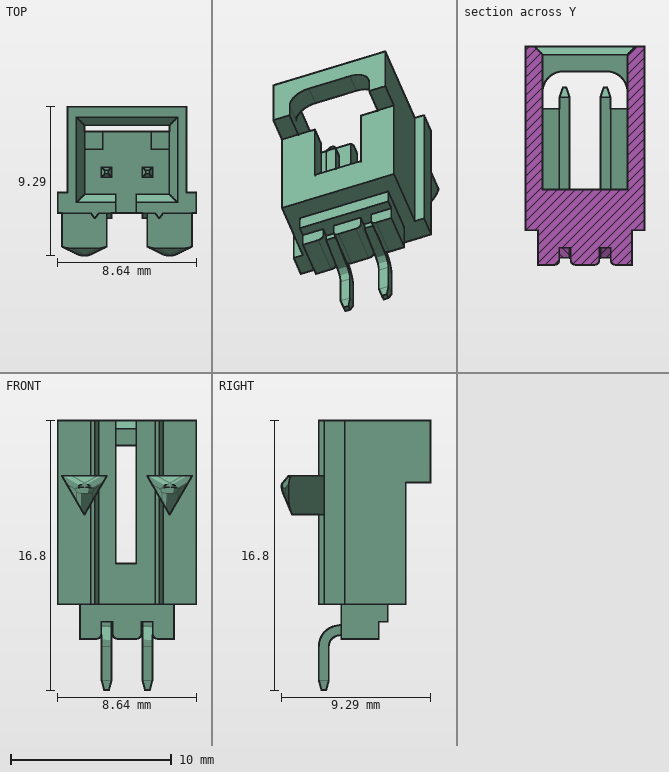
import cadquery as cq
import math


shroud_height = 11.43
shroud_width = 7.42
shroud_depth = 6.62
lower_depth = 5.07
collar_height = 3.86
collar_bottom = shroud_height - collar_height
flange_width = 8.636
flange_depth = 1.29

cavity_width = 5.26
cavity_front = 1.17
cavity_back = 5.44
cavity_lead_in = 0.51
floor_height = 2.54
front_slot_width = 1.27
front_slot_center = -0.0635
window_top = shroud_height - 1.56
window_corner_radius = 1.27
post_size = 1.11

rib_center = 2.0
rib_half_width = 0.255
rib_depth = 0.34

peg_center = 2.65
peg_side = 2.81
peg_top = shroud_height - 3.43
peg_shoulder_length = 2.2
peg_point_slope = 0.85
peg_lower_ridge_radius = 0.9
peg_upper_ridge_radius = 0.55
peg_triangle_height = peg_side * math.sqrt(3) / 2
peg_inradius = peg_triangle_height / 3

block_width = 5.86
block_height = 2.16
block_front = 1.05
block_back = 3.96
block_step_height = 1.1
block_step_depth = 0.56
relief_inner_edge = 0.9
relief_corner_radius = 0.33

pitch = 2.54
pin_size = 0.635
mating_leg_y = 2.54
mating_length = 6.35
run_slope = 11
bend_outer_radius = 1.3
bend_z = -2.61
tail_front = -rib_depth
tail_bottom = -5.33
tip_length = 0.61
tail_tip_size = 0.31
mating_tip_size = 0.22


def box(x0, x1, y0, y1, z0, z1):
    return cq.Workplane("XY").box(x1 - x0, y1 - y0, z1 - z0, centered=False).translate((x0, y0, z0))


def centered_box(width, y0, y1, z0, z1):
    return box(-width / 2, width / 2, y0, y1, z0, z1)


def make_shell():
    """Collar, shallower lower part and side flanges, before hollowing."""
    lower = centered_box(shroud_width, 0, lower_depth, 0, shroud_height)
    collar = centered_box(shroud_width, 0, shroud_depth, collar_bottom, shroud_height)
    flange = centered_box(flange_width, 0, flange_depth, 0, shroud_height)
    return lower.union(collar).union(flange)


def make_cavity():
    """Pocket open to the back below the window, with a 45 degree lead-in at the mouth."""
    pocket = centered_box(cavity_width, cavity_front, cavity_back, floor_height, shroud_height)
    lead_in = (
        cq.Workplane("XY", origin=(0, (cavity_front + cavity_back) / 2, shroud_height))
        .rect(cavity_width + 2 * cavity_lead_in, cavity_back - cavity_front + 2 * cavity_lead_in)
        .workplane(offset=-cavity_lead_in)
        .rect(cavity_width, cavity_back - cavity_front)
        .loft(ruled=True)
    )
    window = (
        centered_box(cavity_width, cavity_front, shroud_depth, floor_height, window_top)
        .edges("|Y and >Z")
        .fillet(window_corner_radius)
    )
    slot_left = front_slot_center - front_slot_width / 2
    front_slot = box(slot_left, slot_left + front_slot_width, 0, cavity_front, floor_height, shroud_height)
    return pocket.union(lead_in).union(window).union(front_slot)


def make_corner_post(side):
    """Post in a rear corner of the cavity, from the floor up to the collar."""
    outer = side * cavity_width / 2
    inner = outer - side * post_size
    left, right = sorted((inner, outer))
    return box(left, right, lower_depth - post_size, lower_depth, floor_height, collar_bottom)


def make_rib(side):
    """Full-height triangular rib on the mounting face."""
    x = side * rib_center
    return (
        cq.Workplane("XY")
        .moveTo(x - rib_half_width, 0)
        .lineTo(x + rib_half_width, 0)
        .lineTo(x, -rib_depth)
        .close()
        .extrude(shroud_height)
    )


def make_peg(side):
    """Triangular prism whose end is a low pyramid with rounded ridges."""
    tolerance = 0.001
    half = peg_side / 2
    apex = cq.Vector(0, -peg_shoulder_length - peg_point_slope * peg_inradius, -peg_inradius)
    root = [cq.Vector(-half, 0, 0), cq.Vector(half, 0, 0), cq.Vector(0, 0, -peg_triangle_height)]
    shoulder = [point - cq.Vector(0, peg_shoulder_length, 0) for point in root]

    outlines = [root]
    for i in range(3):
        j = (i + 1) % 3
        outlines.append([root[i], root[j], shoulder[j], shoulder[i]])
        outlines.append([shoulder[i], shoulder[j], apex])
    faces = [cq.Face.makeFromWires(cq.Wire.makePolygon(points, close=True)) for points in outlines]
    peg = cq.Solid.makeSolid(cq.Shell.makeShell(faces))

    def is_point_edge(edge):
        return edge.Center().y < -peg_shoulder_length - tolerance

    def is_mid_edge(edge):
        return edge.BoundingBox().xlen < tolerance

    upper_ridges = [edge for edge in peg.Edges() if is_point_edge(edge) and not is_mid_edge(edge)]
    peg = peg.fillet(peg_upper_ridge_radius, upper_ridges)
    lower_ridge = [edge for edge in peg.Edges() if is_point_edge(edge) and is_mid_edge(edge)]
    peg = peg.fillet(peg_lower_ridge_radius, lower_ridge)
    return cq.Workplane(peg).translate((side * peg_center, 0, peg_top))


def make_tail_block():
    """Stepped block, open beneath around each contact's bend."""
    step_front = block_back - block_step_depth
    block = centered_box(block_width, block_front, block_back, -block_height, 0)
    step = centered_box(block_width, step_front, block_back, -block_height, -block_step_height)
    block = block.cut(step)
    for side in (-1, 1):
        block = block.cut(make_relief(side))
    return block


def make_relief(side):
    """Channel around a contact's bend, flared with rounded corners at the underside."""
    inner = side * relief_inner_edge
    outer = side * (pitch + pin_size) / 2
    r = side * relief_corner_radius
    z_flare = relief_corner_radius - block_height
    arc_middle_x = r * (1 - math.sqrt(0.5))
    arc_middle_z = z_flare - relief_corner_radius * math.sqrt(0.5)
    return (
        cq.Workplane("XZ", origin=(0, block_back, 0))
        .moveTo(inner, -block_step_height)
        .lineTo(outer, -block_step_height)
        .lineTo(outer, z_flare)
        .threePointArc((outer + arc_middle_x, arc_middle_z), (outer + r, -block_height))
        .lineTo(inner - r, -block_height)
        .threePointArc((inner - arc_middle_x, arc_middle_z), (inner, z_flare))
        .close()
        .extrude(block_back - block_front)
    )


def make_tip(y, z, size, direction):
    """Square taper from the full pin section to a small flat end."""
    return (
        cq.Workplane("XY", origin=(0, y, z))
        .rect(pin_size, pin_size)
        .workplane(offset=direction * tip_length)
        .rect(size, size)
        .loft(ruled=True)
    )


def make_contact(side):
    """Right-angle square pin: mating leg, slightly sloped run, rounded bend and tail."""
    leg_back = mating_leg_y + pin_size / 2
    leg_front = mating_leg_y - pin_size / 2
    tail_back = tail_front + pin_size
    bend_inner_radius = bend_outer_radius - pin_size
    bend_y = tail_front + bend_outer_radius
    mating_shoulder = floor_height + mating_length - tip_length
    tail_shoulder = tail_bottom + tip_length

    def bend_point(radius, angle):
        """Point on a bend arc, turned up from the tail by the angle in degrees."""
        turn = math.radians(angle)
        return (bend_y - radius * math.cos(turn), bend_z + radius * math.sin(turn))

    def run_height(radius, y):
        """Height at y of the sloped run that is tangent to the bend arc of this radius."""
        slope = math.radians(run_slope)
        return bend_z + radius / math.cos(slope) + (y - bend_y) * math.tan(slope)

    bend_sweep = 90 - run_slope
    outer_bend_middle = bend_point(bend_outer_radius, bend_sweep / 2)
    shank = (
        cq.Workplane("YZ", origin=(-pin_size / 2, 0, 0))
        .moveTo(leg_front, mating_shoulder)
        .lineTo(leg_back, mating_shoulder)
        .lineTo(leg_back, run_height(bend_inner_radius, leg_back))
        .lineTo(*bend_point(bend_inner_radius, bend_sweep))
        .threePointArc(bend_point(bend_inner_radius, bend_sweep / 2), (tail_back, bend_z))
        .lineTo(tail_back, tail_shoulder)
        .lineTo(tail_front, tail_shoulder)
        .lineTo(tail_front, bend_z)
        .threePointArc(outer_bend_middle, bend_point(bend_outer_radius, bend_sweep))
        .lineTo(leg_front, run_height(bend_outer_radius, leg_front))
        .close()
        .extrude(pin_size)
    )
    mating_tip = make_tip(mating_leg_y, mating_shoulder, mating_tip_size, 1)
    tail_tip = make_tip(tail_front + pin_size / 2, tail_shoulder, tail_tip_size, -1)
    return shank.union(mating_tip).union(tail_tip).translate((side * pitch / 2, 0, 0))


def make_housing(contacts):
    """Shroud, tail block, posts, ribs and pegs as one solid, with a fitted hole for each contact."""
    housing = make_shell().cut(make_cavity()).union(make_tail_block())
    for side in (-1, 1):
        housing = housing.union(make_corner_post(side))
        housing = housing.union(make_rib(side))
        housing = housing.union(make_peg(side))
    for contact in contacts:
        housing = housing.cut(contact)
    return housing


contacts = [make_contact(side) for side in (-1, 1)]
housing = make_housing(contacts)

result = cq.Compound.makeCompound([housing.val(), *[contact.val() for contact in contacts]])